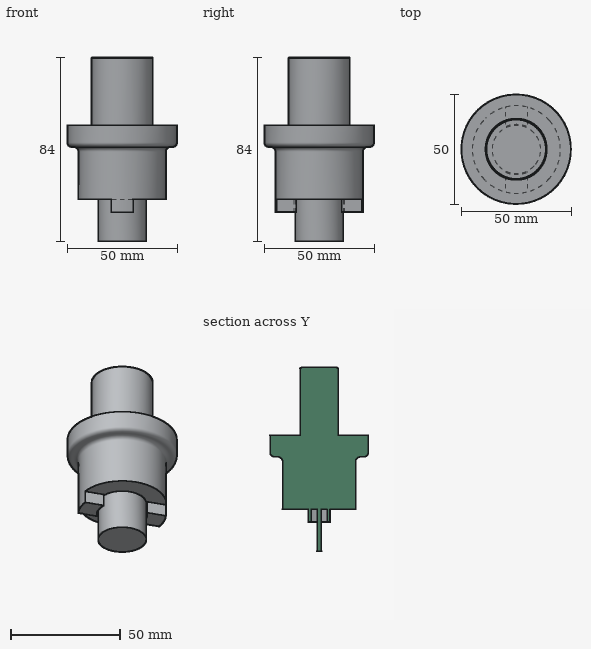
import cadquery as cq

total_height = 84.0
flange_top = 53.0
flange_thickness = 10.0
sleeve_top = 31.0
sleeve_bottom = 19.2
lug_bottom = 13.4

shank_radius = 14.0
flange_radius = 25.0
body_radius = 20.0
pin_radius = 11.0

shank_chamfer = 0.5
flange_fillet = 2.0
neck_fillet = 2.0

lug_width = 10.0
lug_bore_radius = 11.5

flange_bottom = flange_top - flange_thickness


def make_spindle():
    """Shank, flange and upper body as one turned profile in the XZ plane."""
    return (
        cq.Workplane("XZ")
        .moveTo(0, sleeve_top)
        .lineTo(body_radius, sleeve_top)
        .lineTo(body_radius, flange_bottom - neck_fillet)
        .radiusArc((body_radius + neck_fillet, flange_bottom), neck_fillet)
        .lineTo(flange_radius - flange_fillet, flange_bottom)
        .radiusArc((flange_radius, flange_bottom + flange_fillet), -flange_fillet)
        .lineTo(flange_radius, flange_top)
        .lineTo(shank_radius, flange_top)
        .lineTo(shank_radius, total_height - shank_chamfer)
        .lineTo(shank_radius - shank_chamfer, total_height)
        .lineTo(0, total_height)
        .close()
        .revolve(360, (0, 0, 0), (0, 1, 0))
    )


def make_sleeve():
    """Lower part of the body, ending in two opposed drive lugs on the Y axis."""
    ring_height = sleeve_top - sleeve_bottom
    lug_height = sleeve_bottom - lug_bottom
    ring = cq.Workplane("XY").workplane(offset=sleeve_bottom).circle(body_radius).extrude(ring_height)
    lug_base = cq.Workplane("XY").workplane(offset=lug_bottom)
    lug_ring = lug_base.circle(body_radius).circle(lug_bore_radius).extrude(lug_height)
    lug_strip = lug_base.rect(lug_width, 2 * body_radius).extrude(lug_height)
    return ring.union(lug_ring.intersect(lug_strip))


def make_pin():
    """Pilot pin below the sleeve."""
    return cq.Workplane("XY").circle(pin_radius).extrude(sleeve_top)


result = make_spindle().union(make_sleeve()).union(make_pin())